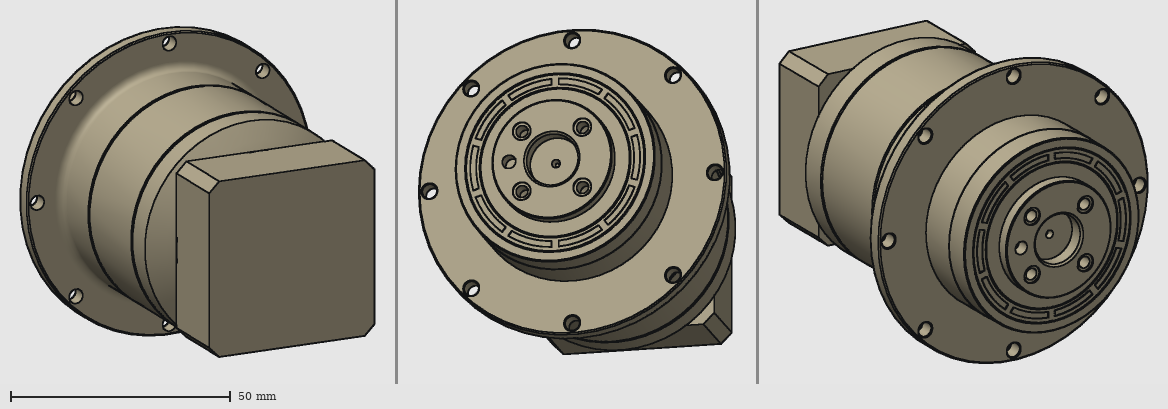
import cadquery as cq
import math

total_length = 87.2

boss_radius = 14.0
boss_height = 3.05
boss_chamfer = 0.3
plate_radius = 17.4
plate_thickness = 3.5
bore_radius = 6.0
bore_chamfer = 0.5
bore_depth = 4.0
centre_radius = 1.0
centre_tip_radius = 0.4
centre_depth = 1.4

boss_hole_circle = 10.0
screw_count = 4
screw_start_angle = 45
screw_radius = 1.4
screw_depth = 4.4
screw_tip_depth = 0.9
counterbore_radius = 2.1
counterbore_depth = 0.4
dowel_radius = 1.6
dowel_depth = 3.5

pilot_radius = 23.5
pilot_front_radius = 23.4
pilot_step_x = 9.6
pilot_chamfer = 0.3
flange_radius = 36.0
flange_front_x = 19.5
flange_thickness = 4.0
flange_chamfer = 0.35
flange_hole_count = 8
flange_hole_circle = 33.4
flange_hole_radius = 1.7
flange_hole_chamfer = 0.22
barrel_radius = 26.95
barrel_fillet = 1.9
groove_positions = (37.0, 59.2)
groove_width = 0.7
groove_depth = 0.3
dome_start_x = 66.1
dome_bulge = 0.22

seal_groove_inner_radii = (plate_radius, 20.8)
seal_groove_width = 0.3
seal_groove_depth = 0.4
slot_count = 10
slot_inner_radius = 18.5
slot_outer_radius = 19.9
slot_depth = 0.3
slot_rib_width = 1.75

adapter_side = 41.85
adapter_length = 17.0
adapter_chamfer = 2.5

plate_back_x = boss_height + plate_thickness
flange_back_x = flange_front_x + flange_thickness
adapter_front_x = total_length - adapter_length
dome_end_radius = adapter_side / 2


def cylinder(radius, start_x, end_x):
    """Cylinder on the X axis between two X positions."""
    return cq.Workplane("YZ", origin=(start_x, 0, 0)).circle(radius).extrude(end_x - start_x)


def ring(inner_radius, outer_radius, start_x, end_x):
    """Tube on the X axis between two X positions."""
    return cylinder(outer_radius, start_x, end_x).cut(cylinder(inner_radius, start_x, end_x))


def revolved(outline):
    """Close an (x, radius) outline and turn it about the X axis."""
    return outline.close().revolve(360, (0, 0, 0), (1, 0, 0))


def drill(body, outline, circle_radius=0, count=1, start_angle=0):
    """Cut a turned tool from the body at even steps on a circle about the X axis."""
    tool = revolved(outline)
    for index in range(count):
        angle = start_angle + index * 360 / count
        offset_y = circle_radius * math.cos(math.radians(angle))
        offset_z = circle_radius * math.sin(math.radians(angle))
        body = body.cut(tool.translate((0, offset_y, offset_z)))
    return body


def bore_outline():
    """Chamfered bore with a tapered centre hole in its floor."""
    return (
        cq.Workplane("XY")
        .lineTo(0, bore_radius + bore_chamfer)
        .lineTo(bore_chamfer, bore_radius)
        .lineTo(bore_depth, bore_radius)
        .lineTo(bore_depth, centre_radius)
        .lineTo(bore_depth + centre_depth, centre_tip_radius)
        .lineTo(bore_depth + centre_depth, 0)
    )


def screw_outline():
    """Counterbored blind hole with a drill tip."""
    return (
        cq.Workplane("XY")
        .lineTo(0, counterbore_radius)
        .lineTo(counterbore_depth, counterbore_radius)
        .lineTo(counterbore_depth, screw_radius)
        .lineTo(screw_depth, screw_radius)
        .lineTo(screw_depth + screw_tip_depth, 0)
    )


def dowel_outline():
    """Flat-bottomed blind hole."""
    return cq.Workplane("XY").lineTo(0, dowel_radius).lineTo(dowel_depth, dowel_radius).lineTo(dowel_depth, 0)


def flange_hole_outline():
    """Through hole with a chamfer on the flange front."""
    return (
        cq.Workplane("XY")
        .moveTo(flange_front_x, 0)
        .lineTo(flange_front_x, flange_hole_radius + flange_hole_chamfer)
        .lineTo(flange_front_x + flange_hole_chamfer, flange_hole_radius)
        .lineTo(flange_back_x, flange_hole_radius)
        .lineTo(flange_back_x, 0)
    )


def make_output_shaft():
    boss = cylinder(boss_radius, 0, boss_height).faces("<X").chamfer(boss_chamfer)
    shaft = cylinder(plate_radius, boss_height, plate_back_x).union(boss)
    shaft = drill(shaft, bore_outline())
    shaft = drill(shaft, screw_outline(), boss_hole_circle, screw_count, screw_start_angle)
    return drill(shaft, dowel_outline(), boss_hole_circle)


def make_barrel():
    """Barrel from the flange to the adapter, flaring into the flange and domed at the rear."""
    return revolved(
        cq.Workplane("XY")
        .moveTo(flange_back_x, 0)
        .lineTo(flange_back_x, barrel_radius + barrel_fillet)
        .radiusArc((flange_back_x + barrel_fillet, barrel_radius), -barrel_fillet)
        .lineTo(dome_start_x, barrel_radius)
        .sagittaArc((adapter_front_x, dome_end_radius), dome_bulge)
        .lineTo(adapter_front_x, 0)
    )


def make_v_groove(centre_x):
    """Shallow V groove around the barrel."""
    return revolved(
        cq.Workplane("XY")
        .moveTo(centre_x - groove_width / 2, barrel_radius)
        .lineTo(centre_x, barrel_radius - groove_depth)
        .lineTo(centre_x + groove_width / 2, barrel_radius)
    )


def make_seal_slots():
    """Shallow ring divided into curved slots by evenly spaced radial ribs."""
    slots = ring(slot_inner_radius, slot_outer_radius, boss_height, boss_height + slot_depth)
    slot_pitch = 360 / slot_count
    rib = cq.Workplane("XY", origin=(boss_height, 0, 0)).box(
        slot_depth, slot_outer_radius, slot_rib_width, centered=(False, False, True)
    )
    for index in range(slot_count):
        slots = slots.cut(rib.rotate((0, 0, 0), (1, 0, 0), (index + 0.5) * slot_pitch))
    return slots


def make_housing():
    pilot_front = cylinder(pilot_front_radius, boss_height, pilot_step_x).faces("<X").chamfer(pilot_chamfer)
    pilot = cylinder(pilot_radius, pilot_step_x, flange_front_x)
    flange = cylinder(flange_radius, flange_front_x, flange_back_x).faces("<X or >X").chamfer(flange_chamfer)
    housing = pilot_front.union(pilot).union(flange).union(make_barrel())

    housing = housing.cut(cylinder(plate_radius, boss_height, plate_back_x))
    for inner_radius in seal_groove_inner_radii:
        outer_radius = inner_radius + seal_groove_width
        housing = housing.cut(ring(inner_radius, outer_radius, boss_height, boss_height + seal_groove_depth))
    housing = housing.cut(make_seal_slots())

    housing = drill(housing, flange_hole_outline(), flange_hole_circle, flange_hole_count)
    for centre_x in groove_positions:
        housing = housing.cut(make_v_groove(centre_x))
    return housing


def make_adapter():
    block = cq.Workplane("YZ", origin=(adapter_front_x, 0, 0)).rect(adapter_side, adapter_side)
    return block.extrude(adapter_length).edges("|X").chamfer(adapter_chamfer)


output_shaft = make_output_shaft()
housing = make_housing()
adapter = make_adapter()

result = cq.Compound.makeCompound([output_shaft.solids().val(), housing.solids().val(), adapter.solids().val()])